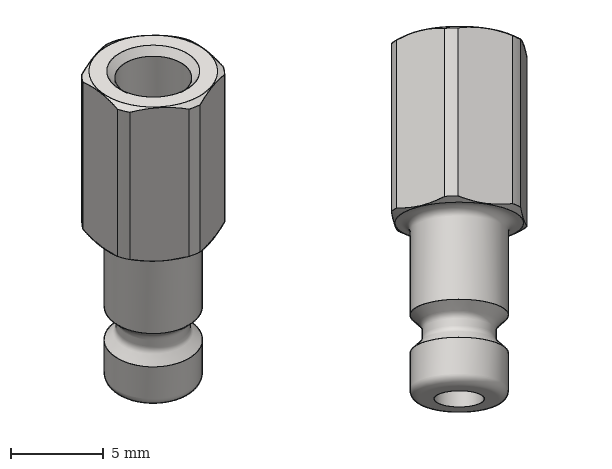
import cadquery as cq
import math

total_length = 20.0
hex_length = 10.0
hex_bottom = total_length - hex_length

across_flats = 7.0
across_corners = 7.7
end_face_diameter = 6.92
end_chamfer_angle = 30.0

shank_radius = 5.3 / 2
blend_radius = 0.5

groove_radius = 4.0 / 2
groove_bottom = 2.6
groove_top = 4.75

bore_diameter = 4.15
bore_depth = 8.0
bore_mouth_diameter = 5.0
passage_diameter = 2.7


def make_hex_body():
    """Hexagon with flats facing +X and -X, trimmed by a chamfered cylinder."""
    hexagon = (
        cq.Workplane("XY", origin=(0, 0, hex_bottom))
        .polygon(6, across_flats, circumscribed=True)
        .extrude(hex_length)
    )
    corner_radius = across_corners / 2
    face_radius = end_face_diameter / 2
    chamfer_height = (corner_radius - face_radius) * math.tan(math.radians(end_chamfer_angle))
    envelope = (
        cq.Workplane("XZ")
        .moveTo(0, hex_bottom)
        .lineTo(face_radius, hex_bottom)
        .lineTo(corner_radius, hex_bottom + chamfer_height)
        .lineTo(corner_radius, total_length - chamfer_height)
        .lineTo(face_radius, total_length)
        .lineTo(0, total_length)
        .close()
        .revolve(360, (0, 0), (0, 1))
    )
    return hexagon.intersect(envelope)


def make_shank():
    """Turned shank with a rounded tip, a 45 degree groove and a flared root."""
    groove_depth = shank_radius - groove_radius
    floor_bottom = groove_bottom + groove_depth
    floor_top = groove_top - groove_depth

    tangent_length = blend_radius * math.tan(math.radians(22.5))
    tangent_leg = tangent_length * math.cos(math.radians(45))
    arc_mid_out = blend_radius * (1 - math.cos(math.radians(22.5)))
    arc_mid_along = blend_radius * math.sin(math.radians(22.5))
    arc_low = floor_bottom + tangent_length
    arc_high = floor_top - tangent_length

    quarter_mid = blend_radius * (1 - math.cos(math.radians(45)))

    return (
        cq.Workplane("XZ")
        .moveTo(0, 0)
        .lineTo(shank_radius - blend_radius, 0)
        .threePointArc((shank_radius - quarter_mid, quarter_mid), (shank_radius, blend_radius))
        .lineTo(shank_radius, groove_bottom)
        .lineTo(groove_radius + tangent_leg, floor_bottom - tangent_leg)
        .threePointArc((groove_radius + arc_mid_out, arc_low - arc_mid_along), (groove_radius, arc_low))
        .lineTo(groove_radius, arc_high)
        .threePointArc(
            (groove_radius + arc_mid_out, arc_high + arc_mid_along),
            (groove_radius + tangent_leg, floor_top + tangent_leg),
        )
        .lineTo(shank_radius, groove_top)
        .lineTo(shank_radius, hex_bottom - blend_radius)
        .threePointArc(
            (shank_radius + quarter_mid, hex_bottom - quarter_mid),
            (shank_radius + blend_radius, hex_bottom),
        )
        .lineTo(0, hex_bottom)
        .close()
        .revolve(360, (0, 0), (0, 1))
    )


def cut_bore(body):
    """Wide bore with a 45 degree mouth, continued by a narrow through passage."""
    mouth_chamfer = (bore_mouth_diameter - bore_diameter) / 2
    bore = (
        cq.Workplane("XZ")
        .moveTo(0, 0)
        .lineTo(passage_diameter / 2, 0)
        .lineTo(passage_diameter / 2, total_length - bore_depth)
        .lineTo(bore_diameter / 2, total_length - bore_depth)
        .lineTo(bore_diameter / 2, total_length - mouth_chamfer)
        .lineTo(bore_mouth_diameter / 2, total_length)
        .lineTo(0, total_length)
        .close()
        .revolve(360, (0, 0), (0, 1))
    )
    return body.cut(bore)


result = cut_bore(make_hex_body().union(make_shank()))